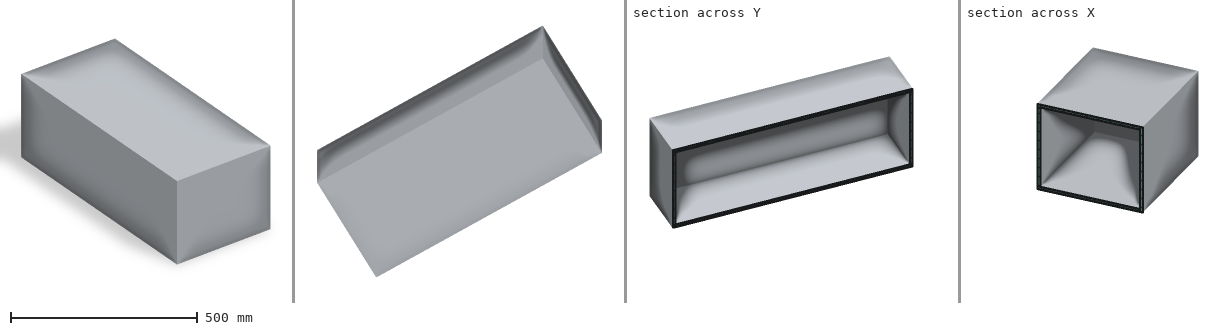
import cadquery as cq

WIDTH = 700.0
DEPTH = 312.0
HEIGHT = 260.0

BOARD = 10.0

CARCASS_DEPTH = DEPTH - BOARD
INNER_WIDTH = WIDTH - 2 * BOARD
INNER_HEIGHT = HEIGHT - 2 * BOARD


def board(size_x, size_y, size_z, corner):
    """Make a rectangular board from its lowest X, Y, Z corner."""
    return cq.Workplane("XY").box(size_x, size_y, size_z, centered=False).translate(corner)


def horizontal_panel(bottom_z):
    """Top or bottom board, full width, behind the front panel."""
    return board(WIDTH, CARCASS_DEPTH, BOARD, (0, BOARD, bottom_z))


def side_panel(left_x):
    """Side board standing between the top and bottom boards."""
    return board(BOARD, CARCASS_DEPTH, INNER_HEIGHT, (left_x, BOARD, BOARD))


front_panel = board(WIDTH, BOARD, HEIGHT, (0, 0, 0))

back_panel = board(INNER_WIDTH, BOARD, INNER_HEIGHT, (BOARD, DEPTH - BOARD, BOARD))

horizontal_panels = [horizontal_panel(z) for z in (0, HEIGHT - BOARD)]
side_panels = [side_panel(x) for x in (0, WIDTH - BOARD)]

panels = [front_panel, back_panel, *horizontal_panels, *side_panels]
result = cq.Compound.makeCompound([panel.val() for panel in panels])